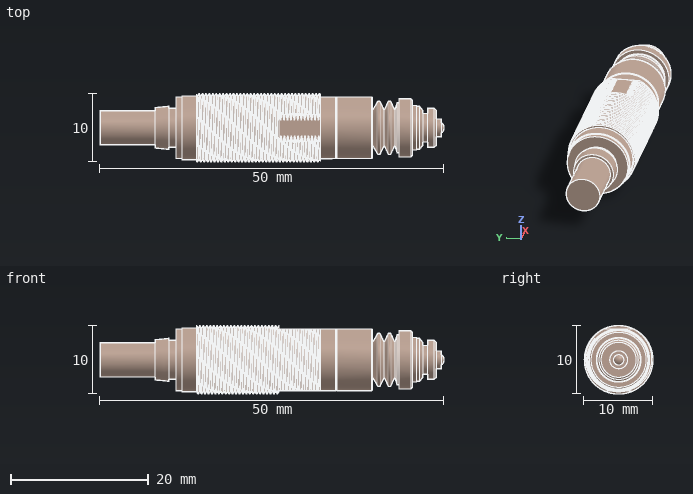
import cadquery as cq
LENGTH = 50.0

GLAND_START = 8.0
GLAND_END = 10.0
COLLAR_START = 11.0
SHOULDER_START = 11.9
THREAD_START = 14.0
FLATS_START = 26.0
THREAD_END = 32.0
GROOVE_CENTRE = 34.3
HOUSING_END = 39.6

CABLE_D = 5.0
GLAND_SMALL_D = 5.9
GLAND_LARGE_D = 6.3
NECK_D = 5.7
BODY_D = 9.0
SHOULDER_D = 9.3

GROOVE_WIDTH = 0.2
GROOVE_DEPTH = 0.1
NOSE_CHAMFER = 0.15

THREAD_D = 10.0
THREAD_ROOT_D = SHOULDER_D
THREAD_PITCH = 0.5
THREAD_CREST = 0.05
THREAD_BASE = 0.45
THREAD_EMBED = 0.025
RIDGE_TURNS = 3
FLATS_ACROSS = BODY_D

VALLEY_D = 5.2
CREST_D = 7.8
CREST_SHOULDER_D = 7.4
CREST_HALF_WIDTH = 0.25
FIRST_CREST = 40.5
CREST_PITCH = 1.55
CREST_COUNT = 2
LAST_FOLD_D = 7.3
LAST_FOLD_X = 43.15

FLANGE_START = 43.4
FLANGE_END = 45.4
FLANGE_D = 8.5
FLANGE_CHAMFER = 0.25
STEP_D = 6.5
STEP_END = 46.0
CONE_START = 46.4
CONE_END = 46.9
CONE_LARGE_D = 6.3
CONE_SMALL_D = 5.1
TIP_NECK_D = 4.2
DISC_START = 47.6
DISC_END = 48.85
DISC_D = 5.7
DISC_CHAMFER = 0.3
TIP_D = 2.6
TIP_END = 49.6
POINT_D = 1.5


def along_x(profile):
    """Close a half profile on the X axis and revolve it."""
    return profile.close().revolve(360, (0, 0, 0), (1, 0, 0))


def housing_rear():
    """Cable, gland, collar and shoulder, up to the start of the thread."""
    profile = (
        cq.Workplane("XY")
        .moveTo(0, 0)
        .lineTo(0, CABLE_D / 2)
        .lineTo(GLAND_START, CABLE_D / 2)
        .lineTo(GLAND_START, GLAND_SMALL_D / 2)
        .lineTo(GLAND_END, GLAND_LARGE_D / 2)
        .lineTo(GLAND_END, NECK_D / 2)
        .lineTo(COLLAR_START, NECK_D / 2)
        .lineTo(COLLAR_START, BODY_D / 2)
        .lineTo(SHOULDER_START, BODY_D / 2)
        .lineTo(SHOULDER_START, SHOULDER_D / 2)
        .lineTo(THREAD_START, SHOULDER_D / 2)
        .lineTo(THREAD_START, 0)
    )
    return along_x(profile)


def housing_front():
    """Plain nose ahead of the thread, with a fine V groove and a chamfered front edge."""
    body_r = BODY_D / 2
    profile = (
        cq.Workplane("XY")
        .moveTo(THREAD_END, 0)
        .lineTo(THREAD_END, body_r)
        .lineTo(GROOVE_CENTRE - GROOVE_WIDTH / 2, body_r)
        .lineTo(GROOVE_CENTRE, body_r - GROOVE_DEPTH)
        .lineTo(GROOVE_CENTRE + GROOVE_WIDTH / 2, body_r)
        .lineTo(HOUSING_END - NOSE_CHAMFER, body_r)
        .lineTo(HOUSING_END, body_r - NOSE_CHAMFER)
        .lineTo(HOUSING_END, 0)
    )
    return along_x(profile)


def helix_edge(radius, start):
    """Right-handed helix round the X axis, RIDGE_TURNS long, that starts on top at X = start."""
    helix = cq.Wire.makeHelix(THREAD_PITCH, RIDGE_TURNS * THREAD_PITCH, radius)
    helix = helix.rotate(cq.Vector(0, 0, 0), cq.Vector(0, 1, 0), 90)
    helix = helix.rotate(cq.Vector(0, 0, 0), cq.Vector(1, 0, 0), 180)
    return helix.translate(cq.Vector(start, 0, 0))


def thread_ridge(start):
    """Trapezoidal helical ridge whose foot is sunk slightly below the thread root."""
    foot_r = THREAD_ROOT_D / 2 - THREAD_EMBED
    crest_r = THREAD_D / 2
    edges = [
        helix_edge(foot_r, start - THREAD_BASE / 2),
        helix_edge(crest_r, start - THREAD_CREST / 2),
        helix_edge(crest_r, start + THREAD_CREST / 2),
        helix_edge(foot_r, start + THREAD_BASE / 2),
    ]
    sides = [cq.Face.makeRuledSurface(edges[i - 1], edges[i]) for i in range(len(edges))]
    first_corners = [edge.startPoint() for edge in edges]
    last_corners = [edge.endPoint() for edge in edges]
    caps = [
        cq.Face.makeFromWires(cq.Wire.makePolygon(corners, close=True))
        for corners in (first_corners, last_corners)
    ]
    shell = cq.Shell.makeShell(sides + caps)
    return cq.Workplane(cq.Solid.makeSolid(shell))


def thread_slab(diameter, pitches):
    """Disc a number of pitches thick, centred on the first turn of the thread."""
    start = THREAD_START - (pitches - 1) / 2 * THREAD_PITCH
    return cq.Workplane("YZ", origin=(start, 0, 0)).circle(diameter / 2).extrude(pitches * THREAD_PITCH)


def thread_turn():
    """One pitch of the thread, cut square at both ends so that copies join end to end."""
    ridge = thread_ridge(THREAD_START - (RIDGE_TURNS - 1) / 2 * THREAD_PITCH)
    core = thread_slab(THREAD_ROOT_D, 2 * RIDGE_TURNS)
    return core.union(ridge).intersect(thread_slab(2 * THREAD_D, 1))


def flattened(turn):
    """The part of a turn between the two flats, above and below."""
    slab = cq.Workplane("XY").box(2 * LENGTH, 2 * THREAD_D, FLATS_ACROSS)
    return turn.intersect(slab)


def row_of_turns(turn, count):
    """Join copies of a turn end to end, by doubling a row of half the count."""
    if count == 1:
        return turn
    half = row_of_turns(turn, count // 2)
    row = half.fuse(half.translate(cq.Vector(count // 2 * THREAD_PITCH, 0, 0)))
    if count % 2 == 1:
        row = row.fuse(turn.translate(cq.Vector((count - 1) * THREAD_PITCH, 0, 0)))
    return row


def make_housing():
    """Turned pieces behind and ahead of the thread, joined through its round and flatted turns."""
    turn = thread_turn()
    round_count = round((FLATS_START - THREAD_START) / THREAD_PITCH)
    flat_count = round((THREAD_END - FLATS_START) / THREAD_PITCH)
    round_row = row_of_turns(turn.val(), round_count)
    flat_row = row_of_turns(flattened(turn).val(), flat_count)
    flat_row = flat_row.translate(cq.Vector(FLATS_START - THREAD_START, 0, 0))
    housing = housing_rear().val().fuse(round_row, flat_row, housing_front().val())
    return cq.Workplane(housing.clean()).solids()


def make_plunger():
    """Bellows, flange and stepped contact tip, seated on the front face of the housing."""
    valley_r = VALLEY_D / 2
    profile = cq.Workplane("XY").moveTo(HOUSING_END, 0).lineTo(HOUSING_END, valley_r)
    for i in range(CREST_COUNT):
        crest = FIRST_CREST + i * CREST_PITCH
        profile = (
            profile.lineTo(crest - CREST_HALF_WIDTH, CREST_SHOULDER_D / 2)
            .threePointArc((crest, CREST_D / 2), (crest + CREST_HALF_WIDTH, CREST_SHOULDER_D / 2))
            .lineTo(crest + CREST_PITCH / 2, valley_r)
        )
    flange_r = FLANGE_D / 2
    disc_r = DISC_D / 2
    point_height = LENGTH - TIP_END
    point_radius = ((POINT_D / 2) ** 2 + point_height**2) / (2 * point_height)
    profile = (
        profile.lineTo(LAST_FOLD_X, LAST_FOLD_D / 2)
        .lineTo(FLANGE_START, LAST_FOLD_D / 2)
        .lineTo(FLANGE_START, flange_r)
        .lineTo(FLANGE_END - FLANGE_CHAMFER, flange_r)
        .lineTo(FLANGE_END, flange_r - FLANGE_CHAMFER)
        .lineTo(FLANGE_END, STEP_D / 2)
        .lineTo(STEP_END, STEP_D / 2)
        .lineTo(STEP_END, CONE_LARGE_D / 2)
        .lineTo(CONE_START, CONE_LARGE_D / 2)
        .lineTo(CONE_END, CONE_SMALL_D / 2)
        .lineTo(CONE_END, TIP_NECK_D / 2)
        .lineTo(DISC_START, TIP_NECK_D / 2)
        .lineTo(DISC_START, disc_r)
        .lineTo(DISC_END - DISC_CHAMFER, disc_r)
        .lineTo(DISC_END, disc_r - DISC_CHAMFER)
        .lineTo(DISC_END, TIP_D / 2)
        .lineTo(TIP_END, TIP_D / 2)
        .lineTo(TIP_END, POINT_D / 2)
        .radiusArc((LENGTH, 0), point_radius)
    )
    return along_x(profile)


housing = make_housing()
plunger = make_plunger()
result = cq.Compound.makeCompound([housing.val(), plunger.val()])